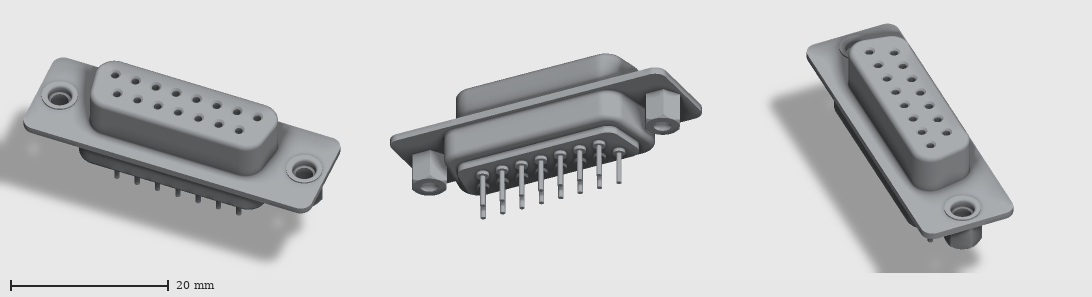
import cadquery as cq
import math

FLANGE_LENGTH = 39.15
FLANGE_WIDTH = 12.55
FLANGE_THICKNESS = 0.95
FLANGE_CORNER_RADIUS = 1.53

SIDE_ANGLE = math.radians(10)
SHELL_WIDTH = 24.6
SHELL_DEPTH = 8.0
SHELL_HEIGHT = 5.8
BODY_WIDTH = 27.48
BODY_DEPTH = 10.8
BODY_HEIGHT = 4.0
SHELL_CORNER_RADIUS = 2.5
SHELL_EDGE_FILLET = 0.75
ROOT_FILLET = 0.25
INSULATOR_WIDTH = 24.15
INSULATOR_DEPTH = 7.0
INSULATOR_HEIGHT = 0.98
INSULATOR_CORNER_RADIUS = 1.55

WIDE_ROW_SPAN = 19.37
ROW_SPACING = 2.8
WIDE_ROW_COUNT = 8
NARROW_ROW_COUNT = WIDE_ROW_COUNT - 1
CONTACT_PITCH = WIDE_ROW_SPAN / (WIDE_ROW_COUNT - 1)
COLLAR_DIAMETER = 1.6
COLLAR_HEIGHT = 0.47
PIN_DIAMETER = 0.65
PIN_LENGTH = 4.23
SOCKET_DIAMETER = 0.98
SOCKET_MOUTH_DIAMETER = 1.5
SOCKET_DEPTH = 3.9
COUNTERSINK_ANGLE = 90

STANDOFF_SPACING = 33.3
STANDOFF_ACROSS_FLATS = 4.35
STANDOFF_HEIGHT = BODY_HEIGHT
STANDOFF_CHAMFER = 0.35
THREAD_DIAMETER = 2.27
RIVET_DIAMETER = 4.58
RIVET_HEIGHT = 0.25
RIVET_BORE_DIAMETER = 3.0
RIVET_BORE_FILLET = 0.4

shell_top = FLANGE_THICKNESS + SHELL_HEIGHT
insulator_bottom = -BODY_HEIGHT - INSULATOR_HEIGHT
collar_bottom = insulator_bottom - COLLAR_HEIGHT


def row_points(count, y):
    """Evenly pitched contact positions, centred on X = 0."""
    first_x = -CONTACT_PITCH * (count - 1) / 2
    return [(first_x + i * CONTACT_PITCH, y) for i in range(count)]


contact_points = row_points(WIDE_ROW_COUNT, ROW_SPACING / 2) + row_points(NARROW_ROW_COUNT, -ROW_SPACING / 2)
standoff_points = [(-STANDOFF_SPACING / 2, 0), (STANDOFF_SPACING / 2, 0)]


def d_block(width, depth, corner_radius, z_start, height):
    """Prism with a rounded D outline whose sides taper inward toward -Y."""
    half_depth = depth / 2
    corner_center_x = width / 2 - corner_radius
    corner_offset = corner_radius * (1 + math.sin(SIDE_ANGLE)) / math.cos(SIDE_ANGLE)
    wide_x = corner_center_x + corner_offset
    narrow_x = wide_x - depth * math.tan(SIDE_ANGLE)
    corners = [
        (-wide_x, half_depth),
        (wide_x, half_depth),
        (narrow_x, -half_depth),
        (-narrow_x, -half_depth),
    ]
    block = cq.Workplane("XY").workplane(offset=z_start).polyline(corners).close().extrude(height)
    return block.edges("|Z").fillet(corner_radius)


def cylinders(points, diameter, z_start, height):
    return cq.Workplane("XY").workplane(offset=z_start).pushPoints(points).circle(diameter / 2).extrude(height)


def fillet_root(solid, z, width, depth):
    """Round the inner corner where a D-shaped block meets the flange face at height z."""
    margin = 0.05
    half_x = width / 2 + margin
    half_y = depth / 2 + margin
    region = cq.selectors.BoxSelector(
        (-half_x, -half_y, z - margin),
        (half_x, half_y, z + margin),
        boundingbox=True,
    )
    return solid.edges(region).fillet(ROOT_FILLET)


def flange_with_shells():
    flange = (
        cq.Workplane("XY")
        .rect(FLANGE_LENGTH, FLANGE_WIDTH)
        .extrude(FLANGE_THICKNESS)
        .edges("|Z")
        .fillet(FLANGE_CORNER_RADIUS)
    )
    shell = d_block(SHELL_WIDTH, SHELL_DEPTH, SHELL_CORNER_RADIUS, FLANGE_THICKNESS, SHELL_HEIGHT)
    shell = shell.faces(">Z").edges().fillet(SHELL_EDGE_FILLET)
    body = d_block(BODY_WIDTH, BODY_DEPTH, SHELL_CORNER_RADIUS, -BODY_HEIGHT, BODY_HEIGHT)
    body = body.faces("<Z").edges().fillet(SHELL_EDGE_FILLET)
    solid = flange.union(shell).union(body)
    solid = fillet_root(solid, FLANGE_THICKNESS, SHELL_WIDTH, SHELL_DEPTH)
    return fillet_root(solid, 0, BODY_WIDTH, BODY_DEPTH)


def insulator():
    return d_block(
        INSULATOR_WIDTH, INSULATOR_DEPTH, INSULATOR_CORNER_RADIUS, insulator_bottom, INSULATOR_HEIGHT
    )


def contact_pins():
    collars = cylinders(contact_points, COLLAR_DIAMETER, collar_bottom, COLLAR_HEIGHT)
    pins = cylinders(contact_points, PIN_DIAMETER, collar_bottom - PIN_LENGTH, PIN_LENGTH)
    return collars.union(pins)


def standoffs():
    across_corners = STANDOFF_ACROSS_FLATS / math.cos(math.pi / 6)
    hexagons = (
        cq.Workplane("XY")
        .workplane(offset=-STANDOFF_HEIGHT)
        .pushPoints(standoff_points)
        .polygon(6, across_corners)
        .extrude(STANDOFF_HEIGHT)
    )
    blanks = cylinders(standoff_points, across_corners, -STANDOFF_HEIGHT, STANDOFF_HEIGHT)
    return hexagons.intersect(blanks.faces("<Z").edges().chamfer(STANDOFF_CHAMFER))


def rivet_bore():
    """Cutter for one rivet: a bore flaring out through a rounded mouth, down to the standoff."""
    rivet_top = FLANGE_THICKNESS + RIVET_HEIGHT
    bore_radius = RIVET_BORE_DIAMETER / 2
    mouth_radius = bore_radius + RIVET_BORE_FILLET
    arc_middle = RIVET_BORE_FILLET * (1 - math.sqrt(0.5))
    return (
        cq.Workplane("XZ")
        .lineTo(bore_radius, 0)
        .lineTo(bore_radius, rivet_top - RIVET_BORE_FILLET)
        .threePointArc((bore_radius + arc_middle, rivet_top - arc_middle), (mouth_radius, rivet_top))
        .lineTo(0, rivet_top)
        .close()
        .revolve(360, (0, 0, 0), (0, 1, 0))
    )


result = flange_with_shells().union(insulator()).union(contact_pins()).union(standoffs())

result = result.union(cylinders(standoff_points, RIVET_DIAMETER, FLANGE_THICKNESS, RIVET_HEIGHT))
for x, y in standoff_points:
    result = result.cut(rivet_bore().translate((x, y, 0)))
result = result.cut(cylinders(standoff_points, THREAD_DIAMETER, -STANDOFF_HEIGHT, STANDOFF_HEIGHT))

result = (
    result.faces(">Z")
    .workplane(origin=(0, 0, shell_top))
    .pushPoints(contact_points)
    .cskHole(SOCKET_DIAMETER, SOCKET_MOUTH_DIAMETER, COUNTERSINK_ANGLE, SOCKET_DEPTH)
)